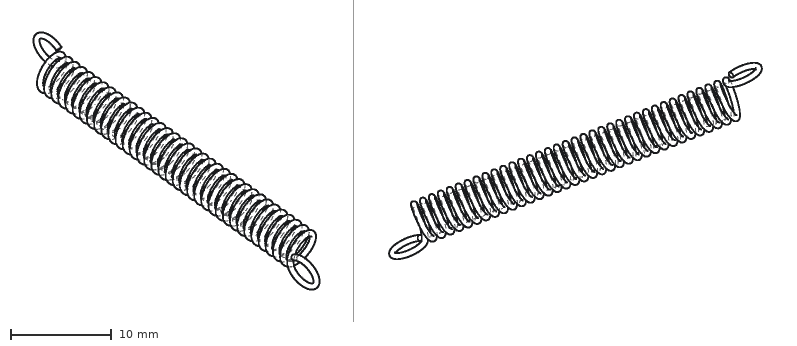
import cadquery as cq

wire_diameter = 0.65
coil_outer_diameter = 4.5
coil_length = 34.25
turns = 35.5
hook_radius = 1.75
hook_sweep = 315
tilt = 5.3

wire_radius = wire_diameter / 2
coil_radius = (coil_outer_diameter - wire_diameter) / 2
pitch = coil_length / turns


def make_coil():
    """Wire wound about X, starting at +Y and rising over +Z towards -Y."""
    path = cq.Workplane(cq.Wire.makeHelix(pitch, coil_length, coil_radius))
    profile = cq.Workplane("XZ", origin=(coil_radius, 0, 0)).circle(wire_radius)
    upright_coil = profile.sweep(path, isFrenet=True)
    return (
        upright_coil
        .rotate((0, 0, 0), (0, 1, 0), 90)
        .rotate((0, 0, 0), (1, 0, 0), 90)
        .translate((-coil_length / 2, 0, 0))
    )


def make_start_hook():
    """Open ring in an XZ plane, leaving the -X end of the coil downwards."""
    return (
        cq.Workplane("XY", origin=(-coil_length / 2, coil_radius, 0))
        .circle(wire_radius)
        .revolve(hook_sweep, (-hook_radius, 0, 0), (-hook_radius, 1, 0))
    )


coil = make_coil()
start_hook = make_start_hook()
end_hook = start_hook.rotate((0, 0, 0), (0, 0, 1), 180)
spring = coil.union(start_hook).union(end_hook)
result = spring.rotate((0, 0, 0), (0, 0, 1), tilt)